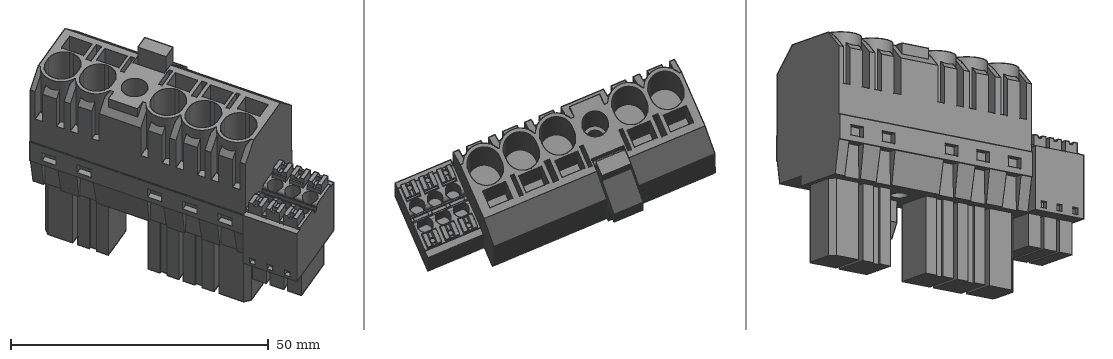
import cadquery as cq

CLEAR = 0.6

HOUSING_LENGTH = 46.7
HOUSING_TOP = 29.05
HOUSING_BACK = 20.05
FRONT_CHAMFER = 3.5
BACK_CHAMFER = 4.9
BAND_BOTTOM = 6.8
BAND_TOP = 11.8
BAND_STEP_FRONT = 0.3
BAND_STEP_BACK = 0.2
FRONT_TAPER_IN = 1.2
BACK_TAPER_IN = 0.7
BACK_TAPER_BOTTOM = 2.7
STEP_Y = 12.35
STEP_Z = 2.0

FIRST_POLE_X = 4.2
LAST_POLE_X = 42.4
POLE_SPACES = 5
POLE_PITCH = (LAST_POLE_X - FIRST_POLE_X) / POLE_SPACES
FLANGE_PLACE = 2
FLANGE_X = FIRST_POLE_X + FLANGE_PLACE * POLE_PITCH
POLE_XS = [FIRST_POLE_X + i * POLE_PITCH for i in range(POLE_SPACES + 1) if i != FLANGE_PLACE]

FUNNEL_Y = 5.65
FUNNEL_WIDTH = 6.65
FUNNEL_LENGTH = 7.7
FUNNEL_DEPTH = 17.55
COLLAR_WALL = 0.75
FUNNEL_FLAT_WIDTH = 0.9
RELIEF_WIDTH = 6.25
RELIEF_FLOOR = 18.2
RELIEF_RIB_WIDTH = 3.05

TEST_WIDTH = 4.85
TEST_FRONT = 10.0
TEST_BACK = 13.6
TEST_DEPTH = 11.7
GROOVE_FRONT = 9.3
GROOVE_BACK = 13.8
GROOVE_DEPTH = 11.7
WIDE_GROOVE = 1.1
NARROW_GROOVE = 0.75
SIDE_GROOVE_OFFSET = 4.15

WINDOW_WIDTH = 3.05
WINDOW_BOTTOM = 7.95
WINDOW_TOP = 10.05
WINDOW_DEPTH = 1.3
RECESS_WIDTH_TOP = 3.5
RECESS_WIDTH_BOTTOM = 3.8
RECESS_Y = 1.7

LEG_WIDTH = 6.65
LEG_FRONT = 3.55
LEG_BACK = 11.35
LEG_LENGTH = 15.55
LEG_GROOVE_WIDTH = 1.6
LEG_GROOVE_DEPTH = 0.45
END_LEG_WIDTH = 6.5
END_LEG_BACK = 11.0
END_LEG_FRONT_CHAMFER = 1.1
END_LEG_BACK_CHAMFER = 0.35

FLANGE_WIDTH = 6.4
FLANGE_FRONT = 1.3
FLANGE_HEIGHT = 2.35
SCREW_Y = 6.4
SCREW_DIAMETER = 3.55
SCREW_HEAD_DIAMETER = 5.15
SCREW_HEAD_DEPTH = 14.6
HOOK_WIDTH = 4.05
HOOK_BACK = 11.65
HOOK_BOTTOM = 7.3
HOOK_BEVEL_HEIGHT = 3.0
HOOK_BEVEL_DEPTH = 1.7

LATCH_WIDTH = 6.15
LATCH_SLOT_WIDTH = 6.8
LATCH_FRONT = 12.5
LATCH_LEDGE_Z = 26.3
LATCH_HANDLE_FRONT = 13.9
LATCH_HANDLE_BACK = 16.95
LATCH_TOP = 32.15
LATCH_SLOPE_TOP = 27.4
LATCH_SLOPE_BOTTOM = 21.7
LATCH_BACK = 22.9
LATCH_BACK_BOTTOM = 14.25

SIGNAL_LENGTH = 11.75
SIGNAL_FRONT = -1.2
SIGNAL_BACK = 14.9
SIGNAL_MID = 6.8
SIGNAL_WALL_TOP = 12.85
SIGNAL_DECK = 13.4
SIGNAL_POLES = 3
SIGNAL_PITCH = 3.8
SIGNAL_XS = [
    HOUSING_LENGTH + SIGNAL_LENGTH / 2 + (i - (SIGNAL_POLES - 1) / 2) * SIGNAL_PITCH
    for i in range(SIGNAL_POLES)
]
ROWS = (-1, 1)
TRENCH_FLOOR_HALF = 0.7
TRENCH_ROUNDING = 0.75
CHANNEL_HALF = 0.4
CHANNEL_FLOOR = 11.9
CHANNEL_POCKET_DEPTH = 0.3
SIGNAL_HOLE_OFFSET = 2.0
SIGNAL_HOLE_DIAMETER = 3.05
SIGNAL_HOLE_INNER = 0.7
SIGNAL_HOLE_DEPTH = 7.0
SIGNAL_WINDOW_WIDTH = 1.2
SIGNAL_WINDOW_BOTTOM = 0.65
SIGNAL_WINDOW_TOP = 2.0
SIGNAL_WINDOW_DEPTH = 1.0
PIN_WIDTH = 3.05
PIN_LENGTH = 6.6
PIN_FRONT = 1.8
PIN_BACK = 11.65

LEVER_WIDTH = 2.9
LEVER_INNER = 3.55
LEVER_CREST = 3.9
LEVER_OUTER = 6.7
LEVER_BOTTOM = 7.0
LEVER_LEDGE = 14.3
LEVER_TOP = 15.5
LEVER_SLOT_TOP_WIDTH = 1.15
LEVER_SLOT_FLOOR_WIDTH = 0.6
LEVER_SLOT_DEPTH = 0.5
LEVER_HOLE_OFFSET = 5.65
LEVER_HOLE_DIAMETER = 1.1
LEVER_HOLE_DEPTH = 1.45


def block(x0, x1, y0, y1, z0, z1):
    """Box between two opposite corners; the ends of each range may come in either order."""
    size = (abs(x1 - x0), abs(y1 - y0), abs(z1 - z0))
    low = (min(x0, x1), min(y0, y1), min(z0, z1))
    return cq.Workplane("XY").box(*size, centered=False).translate(low)


def centred_block(x, width, y0, y1, z0, z1):
    return block(x - width / 2, x + width / 2, y0, y1, z0, z1)


def profile_along_x(points, x0, x1):
    """Extrude a (Y, Z) outline from x0 to x1."""
    return cq.Workplane("YZ", origin=(x0, 0, 0)).polyline(points).close().extrude(x1 - x0)


def upright_cylinder(x, y, diameter, z0, z1):
    return cq.Workplane("XY", origin=(x, y, z0)).circle(diameter / 2).extrude(z1 - z0)


def upright_oval(x, width, length, z0, z1):
    """Oval column on the funnel line, long side along Y."""
    return cq.Workplane("XY", origin=(x, FUNNEL_Y, z0)).slot2D(length, width, 90).extrude(z1 - z0)




def housing_shell():
    outline = [
        (FRONT_TAPER_IN, 0),
        (0, BAND_BOTTOM),
        (-BAND_STEP_FRONT, BAND_BOTTOM),
        (-BAND_STEP_FRONT, BAND_TOP),
        (0, BAND_TOP),
        (0, HOUSING_TOP - FRONT_CHAMFER),
        (FRONT_CHAMFER, HOUSING_TOP),
        (HOUSING_BACK - BACK_CHAMFER, HOUSING_TOP),
        (HOUSING_BACK, HOUSING_TOP - BACK_CHAMFER),
        (HOUSING_BACK, BAND_TOP),
        (HOUSING_BACK + BAND_STEP_BACK, BAND_TOP),
        (HOUSING_BACK + BAND_STEP_BACK, BAND_BOTTOM),
        (HOUSING_BACK, BAND_BOTTOM),
        (HOUSING_BACK - BACK_TAPER_IN, BACK_TAPER_BOTTOM),
        (HOUSING_BACK - BACK_TAPER_IN, STEP_Z),
        (STEP_Y, STEP_Z),
        (STEP_Y, 0),
    ]
    return profile_along_x(outline, 0, HOUSING_LENGTH)


def add_funnel(body, x):
    """Oval collar freed from the front wall by two slots, with a rib left between them."""
    collar = upright_oval(
        x, FUNNEL_WIDTH + 2 * COLLAR_WALL, FUNNEL_LENGTH + 2 * COLLAR_WALL, RELIEF_FLOOR, HOUSING_TOP
    )
    relief = centred_block(x, RELIEF_WIDTH, -CLEAR, FUNNEL_Y, RELIEF_FLOOR, HOUSING_TOP)
    rib = centred_block(x, RELIEF_RIB_WIDTH, -CLEAR, FUNNEL_Y, RELIEF_FLOOR, HOUSING_TOP)
    return body.cut(relief.cut(rib).cut(collar)).union(collar)


def cut_pole(body, x):
    """Funnel hole with a narrow flat at its back, test pocket, front window and recess above the leg."""
    funnel_hole = upright_oval(x, FUNNEL_WIDTH, FUNNEL_LENGTH, HOUSING_TOP - FUNNEL_DEPTH, HOUSING_TOP)
    funnel_flat = centred_block(
        x, FUNNEL_FLAT_WIDTH, FUNNEL_Y, FUNNEL_Y + FUNNEL_LENGTH / 2, HOUSING_TOP - FUNNEL_DEPTH, HOUSING_TOP
    )
    test_pocket = centred_block(
        x, TEST_WIDTH, TEST_FRONT, TEST_BACK, HOUSING_TOP - TEST_DEPTH, HOUSING_TOP
    )
    window = centred_block(
        x, WINDOW_WIDTH, -BAND_STEP_FRONT, WINDOW_DEPTH - BAND_STEP_FRONT, WINDOW_BOTTOM, WINDOW_TOP
    )
    recess = (
        cq.Workplane("XZ", origin=(x, RECESS_Y, 0))
        .polyline(
            [
                (-RECESS_WIDTH_BOTTOM / 2, 0),
                (RECESS_WIDTH_BOTTOM / 2, 0),
                (RECESS_WIDTH_TOP / 2, BAND_BOTTOM),
                (-RECESS_WIDTH_TOP / 2, BAND_BOTTOM),
            ]
        )
        .close()
        .extrude(RECESS_Y + CLEAR)
    )
    return body.cut(funnel_hole).cut(funnel_flat).cut(test_pocket).cut(window).cut(recess)


def cut_top_grooves(body):
    """Narrow slits between neighbouring poles and on both sides of the flange."""
    grooves = [
        (FIRST_POLE_X + 0.5 * POLE_PITCH, WIDE_GROOVE),
        (FLANGE_X - SIDE_GROOVE_OFFSET, NARROW_GROOVE),
        (FLANGE_X + SIDE_GROOVE_OFFSET, NARROW_GROOVE),
        (LAST_POLE_X - 1.5 * POLE_PITCH, WIDE_GROOVE),
        (LAST_POLE_X - SIDE_GROOVE_OFFSET, NARROW_GROOVE),
    ]
    for x, width in grooves:
        groove = centred_block(
            x, width, GROOVE_FRONT, GROOVE_BACK, HOUSING_TOP - GROOVE_DEPTH, HOUSING_TOP
        )
        body = body.cut(groove)
    return body


def inner_leg(x):
    """Plug leg with a shallow groove down its front."""
    leg = centred_block(x, LEG_WIDTH, LEG_FRONT, LEG_BACK, -LEG_LENGTH, 0)
    groove = centred_block(
        x, LEG_GROOVE_WIDTH, LEG_FRONT, LEG_FRONT + LEG_GROOVE_DEPTH, -LEG_LENGTH, 0
    )
    return leg.cut(groove)


def end_leg(x, outward):
    """Plug leg at one end of the row, bevelled on its outward corners (-1: -X, 1: +X)."""
    outer = x + outward * END_LEG_WIDTH / 2
    inner = x - outward * END_LEG_WIDTH / 2
    outline = [
        (inner, LEG_FRONT),
        (outer - outward * END_LEG_FRONT_CHAMFER, LEG_FRONT),
        (outer, LEG_FRONT + END_LEG_FRONT_CHAMFER),
        (outer, END_LEG_BACK - END_LEG_BACK_CHAMFER),
        (outer - outward * END_LEG_BACK_CHAMFER, END_LEG_BACK),
        (inner, END_LEG_BACK),
    ]
    return cq.Workplane("XY", origin=(0, 0, -LEG_LENGTH)).polyline(outline).close().extrude(LEG_LENGTH)


def locking_hook():
    """Tab under the flange whose lower front is bevelled."""
    hook_front = HOOK_BACK - HOOK_BEVEL_DEPTH
    outline = [
        (hook_front, 0),
        (hook_front, HOOK_BEVEL_HEIGHT - HOOK_BOTTOM),
        (HOOK_BACK, -HOOK_BOTTOM),
        (HOOK_BACK, 0),
    ]
    return profile_along_x(outline, FLANGE_X - HOOK_WIDTH / 2, FLANGE_X + HOOK_WIDTH / 2)


def add_flange(body):
    """Screw boss, stepped screw hole, open slot for the latch and the hook below."""
    boss = centred_block(
        FLANGE_X, FLANGE_WIDTH, FLANGE_FRONT, FUNNEL_Y, HOUSING_TOP - FLANGE_HEIGHT, HOUSING_TOP
    )
    screw_hole = upright_cylinder(FLANGE_X, SCREW_Y, SCREW_DIAMETER, 0, HOUSING_TOP)
    head_hole = upright_cylinder(
        FLANGE_X, SCREW_Y, SCREW_HEAD_DIAMETER, HOUSING_TOP - SCREW_HEAD_DEPTH, HOUSING_TOP
    )
    latch_slot = centred_block(
        FLANGE_X, LATCH_SLOT_WIDTH, LATCH_FRONT, HOUSING_BACK + CLEAR, 0, HOUSING_TOP
    )
    body = body.union(boss).union(locking_hook())
    return body.cut(screw_hole).cut(head_hole).cut(latch_slot)


def power_housing():
    body = housing_shell()
    for x in POLE_XS:
        body = add_funnel(body, x)
    for x in POLE_XS:
        body = cut_pole(body, x)
    body = cut_top_grooves(body)
    body = body.union(end_leg(POLE_XS[0], -1)).union(end_leg(POLE_XS[-1], 1))
    for x in POLE_XS[1:-1]:
        body = body.union(inner_leg(x))
    return add_flange(body)




def signal_shell():
    """Block with a raised deck, split by a round-edged trench that has a channel in its floor."""
    trench_floor = SIGNAL_DECK - TRENCH_ROUNDING
    trench_half = TRENCH_FLOOR_HALF + TRENCH_ROUNDING
    x_end = HOUSING_LENGTH + SIGNAL_LENGTH
    walls = block(HOUSING_LENGTH, x_end, SIGNAL_FRONT, SIGNAL_BACK, 0, SIGNAL_WALL_TOP)
    deck = block(
        HOUSING_LENGTH, x_end, SIGNAL_MID - LEVER_OUTER, SIGNAL_MID + LEVER_OUTER, 0, SIGNAL_DECK
    )
    trench = block(
        HOUSING_LENGTH, x_end, SIGNAL_MID - trench_half, SIGNAL_MID + trench_half, trench_floor, SIGNAL_DECK
    )
    channel = block(
        HOUSING_LENGTH,
        x_end,
        SIGNAL_MID - CHANNEL_HALF,
        SIGNAL_MID + CHANNEL_HALF,
        CHANNEL_FLOOR,
        SIGNAL_DECK,
    )
    for row in ROWS:
        rounding = (
            cq.Workplane("YZ", origin=(HOUSING_LENGTH, SIGNAL_MID + row * trench_half, trench_floor))
            .circle(TRENCH_ROUNDING)
            .extrude(SIGNAL_LENGTH)
        )
        trench = trench.cut(rounding)
    return walls.union(deck).cut(trench).cut(channel)


def signal_wire_hole(x, row):
    """Round hole flattened toward the middle trench and toward its lever."""
    bottom = SIGNAL_DECK - SIGNAL_HOLE_DEPTH
    hole = upright_cylinder(
        x, SIGNAL_MID + row * SIGNAL_HOLE_OFFSET, SIGNAL_HOLE_DIAMETER, bottom, SIGNAL_DECK
    )
    limits = centred_block(
        x,
        SIGNAL_HOLE_DIAMETER,
        SIGNAL_MID + row * SIGNAL_HOLE_INNER,
        SIGNAL_MID + row * LEVER_INNER,
        bottom,
        SIGNAL_DECK,
    )
    return hole.intersect(limits)


def lever_pocket(x, row):
    return centred_block(
        x,
        LEVER_WIDTH,
        SIGNAL_MID + row * LEVER_INNER,
        SIGNAL_MID + row * LEVER_OUTER,
        LEVER_BOTTOM,
        SIGNAL_DECK,
    )


def signal_block():
    body = signal_shell()
    for x in SIGNAL_XS:
        for row in ROWS:
            body = body.cut(signal_wire_hole(x, row)).cut(lever_pocket(x, row))
        channel_pocket = centred_block(
            x,
            PIN_WIDTH,
            SIGNAL_MID - CHANNEL_HALF,
            SIGNAL_MID + CHANNEL_HALF,
            CHANNEL_FLOOR - CHANNEL_POCKET_DEPTH,
            CHANNEL_FLOOR,
        )
        window = centred_block(
            x,
            SIGNAL_WINDOW_WIDTH,
            SIGNAL_FRONT,
            SIGNAL_FRONT + SIGNAL_WINDOW_DEPTH,
            SIGNAL_WINDOW_BOTTOM,
            SIGNAL_WINDOW_TOP,
        )
        pin = centred_block(x, PIN_WIDTH, PIN_FRONT, PIN_BACK, -PIN_LENGTH, 0)
        body = body.cut(channel_pocket).cut(window).union(pin)
    return body




def release_latch():
    outline = [
        (LATCH_FRONT, BACK_TAPER_BOTTOM),
        (LATCH_FRONT, LATCH_LEDGE_Z),
        (LATCH_HANDLE_FRONT, LATCH_LEDGE_Z),
        (LATCH_HANDLE_FRONT, LATCH_TOP),
        (LATCH_HANDLE_BACK, LATCH_TOP),
        (LATCH_HANDLE_BACK, LATCH_SLOPE_TOP),
        (LATCH_BACK, LATCH_SLOPE_BOTTOM),
        (LATCH_BACK, LATCH_BACK_BOTTOM),
        (HOUSING_BACK, LATCH_BACK_BOTTOM),
        (HOUSING_BACK, BACK_TAPER_BOTTOM),
    ]
    return profile_along_x(outline, FLANGE_X - LATCH_WIDTH / 2, FLANGE_X + LATCH_WIDTH / 2)




def push_lever(x, row):
    """Lever with a low inner ledge, a tapered screwdriver slot and a round test hole."""
    crest_y = SIGNAL_MID + row * LEVER_CREST
    outer_y = SIGNAL_MID + row * LEVER_OUTER
    inner_y = SIGNAL_MID + row * LEVER_INNER
    ledge = centred_block(x, LEVER_WIDTH, inner_y, outer_y, LEVER_BOTTOM, LEVER_LEDGE)
    crest = centred_block(x, LEVER_WIDTH, crest_y, outer_y, LEVER_LEDGE, LEVER_TOP)
    slot_floor = LEVER_TOP - LEVER_SLOT_DEPTH
    slot = (
        cq.Workplane("XZ", origin=(x, max(crest_y, outer_y), 0))
        .polyline(
            [
                (-LEVER_SLOT_TOP_WIDTH / 2, LEVER_TOP),
                (-LEVER_SLOT_FLOOR_WIDTH / 2, slot_floor),
                (LEVER_SLOT_FLOOR_WIDTH / 2, slot_floor),
                (LEVER_SLOT_TOP_WIDTH / 2, LEVER_TOP),
            ]
        )
        .close()
        .extrude(LEVER_OUTER - LEVER_CREST)
    )
    hole = upright_cylinder(
        x,
        SIGNAL_MID + row * LEVER_HOLE_OFFSET,
        LEVER_HOLE_DIAMETER,
        LEVER_TOP - LEVER_HOLE_DEPTH,
        LEVER_TOP,
    )
    return ledge.union(crest).cut(slot).cut(hole)


housing = power_housing().union(signal_block())
latch = release_latch()
levers = [push_lever(x, row) for x in SIGNAL_XS for row in ROWS]

result = cq.Compound.makeCompound([housing.val(), latch.val(), *[lever.val() for lever in levers]])